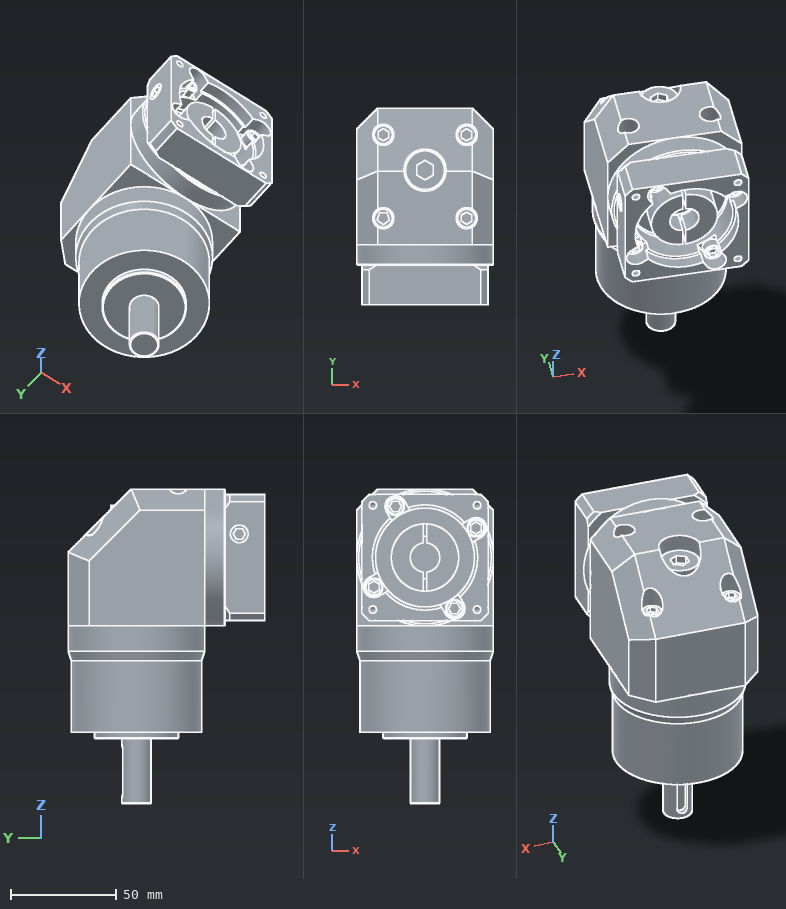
import cadquery as cq
import math


housing_width = 65.0
half_width = housing_width / 2
slope_leg = 30.0
side_chamfer = 10.0

stage_radius = 31.0
collar_bottom = -44.5
taper_bottom = -49.0
stage_bottom = -83.0
boss_radius = 20.0
boss_height = 3.0
edge_chamfer = 0.5

shaft_radius = 7.0
shaft_length = 31.0
key_width = 5.0
key_length = 25.0
key_depth = 3.0

ring_length = 9.75
ring_front = -half_width - ring_length
ring_chamfer_radial = 1.0
ring_chamfer_axial = 0.5
ring_recess_depth = 2.0
recess_floor = ring_front + ring_recess_depth

screw_circle_radius = 28.0
screw_head_radius = 4.25
screw_head_height = 5.0
plate_screw_chamfer = 0.5
screw_socket_width = 5.0
screw_socket_depth = 2.5
counterbore_radius = 5.0
housing_screw_top = 10.8

plug_radius = 9.2
plug_recess_radius = 10.0
plug_recess_depth = 4.0
plug_top = 24.7
plug_y = 3.0
plug_socket_width = 8.0
plug_socket_depth = 4.0

plate_width = 60.0
plate_length = 18.75
plate_front = ring_front - plate_length
plate_corner_radius = 40.0
plate_back_chamfer = 2.0
pilot_radius = 25.0
pilot_depth = 6.0
plate_bore_radius = 23.5
plate_screw_recess = 6.0
motor_hole_circle_radius = 35.0
motor_hole_radius = 1.75
motor_hole_depth = 10.0
drill_tip_angle = 118.0

access_plug_radius = 4.2
access_plug_y = -48.8
access_plug_z = 11.2
access_plug_inset = 0.1
access_socket_depth = 5.0

hub_radius = 16.0
hub_inset = 6.0
hub_front = plate_front + hub_inset
hub_bore_radius = 7.0
hub_rear_bore_radius = 10.0
hub_rear_bore_depth = 4.0
hub_slot_width = 1.5
hub_slot_end_wall = 3.0


def front_plane(y):
    """Plane at the given Y with X to the right, Z up and its normal toward -Y."""
    return cq.Workplane("XZ", origin=(0, y, 0))


def polar(radius, degrees):
    angle = math.radians(degrees)
    return radius * math.cos(angle), radius * math.sin(angle)


def socket_screw_head(socket_sides=6):
    """Socket head standing on the XY plane, with a socket corner toward -Y."""
    head = cq.Workplane("XY").circle(screw_head_radius).extrude(screw_head_height)
    socket = (
        cq.Workplane("XY")
        .workplane(offset=screw_head_height - screw_socket_depth)
        .transformed(rotate=(0, 0, -90 - 180 / socket_sides))
        .polygon(socket_sides, screw_socket_width, circumscribed=True)
        .extrude(screw_socket_depth)
    )
    return head.cut(socket)


def make_angle_housing():
    ridge = half_width - slope_leg
    block = (
        cq.Workplane("YZ")
        .workplane(offset=-half_width)
        .moveTo(-half_width, -half_width)
        .lineTo(half_width, -half_width)
        .lineTo(half_width, ridge)
        .lineTo(ridge, half_width)
        .lineTo(-half_width, half_width)
        .close()
        .extrude(housing_width)
    )
    return block.faces("<X or >X").edges("not(<Z or <Y)").chamfer(side_chamfer)


def make_output_stage():
    boss_bottom = stage_bottom - boss_height
    shaft_end = boss_bottom - shaft_length
    stage = (
        cq.Workplane("XZ")
        .moveTo(0, -half_width)
        .lineTo(half_width, -half_width)
        .lineTo(half_width, collar_bottom)
        .lineTo(stage_radius, taper_bottom)
        .lineTo(stage_radius, stage_bottom)
        .lineTo(boss_radius, stage_bottom)
        .lineTo(boss_radius, boss_bottom + edge_chamfer)
        .lineTo(boss_radius - edge_chamfer, boss_bottom)
        .lineTo(shaft_radius, boss_bottom)
        .lineTo(shaft_radius, shaft_end + edge_chamfer)
        .lineTo(shaft_radius - edge_chamfer, shaft_end)
        .lineTo(0, shaft_end)
        .close()
        .revolve(360, (0, 0, 0), (0, 1, 0))
    )
    keyway = (
        cq.Workplane("XZ", origin=(0, shaft_radius, boss_bottom - shaft_length / 2))
        .slot2D(key_length, key_width, 90)
        .extrude(key_depth)
    )
    return stage.cut(keyway)


def make_input_ring():
    ring = front_plane(-half_width).circle(half_width).extrude(ring_length)
    ring = ring.faces("<Y").edges().chamfer(ring_chamfer_axial, ring_chamfer_radial)
    recess = front_plane(recess_floor).circle(plate_bore_radius).extrude(ring_recess_depth)
    return ring.cut(recess)


def add_housing_screws(body):
    screw_seat = housing_screw_top - screw_head_height
    for degrees in (45, 135, 225, 315):
        x, y = polar(screw_circle_radius, degrees)
        counterbore = (
            cq.Workplane("XY", origin=(x, y, screw_seat))
            .circle(counterbore_radius)
            .extrude(half_width - screw_seat)
        )
        sides = 5 if degrees == 225 else 6
        head = socket_screw_head(sides).translate((x, y, screw_seat))
        body = body.cut(counterbore).union(head)
    return body


def add_ridge_plug(body):
    top = cq.Workplane("XY", origin=(0, plug_y, plug_top))
    plug_foot = top.workplane(offset=-plug_recess_depth)
    recess = plug_foot.circle(plug_recess_radius).extrude(half_width)
    plug = plug_foot.circle(plug_radius).extrude(plug_recess_depth)
    socket = top.polygon(6, plug_socket_width, circumscribed=True).extrude(-plug_socket_depth)
    return body.cut(recess).union(plug).cut(socket)


def make_gearbox():
    body = make_angle_housing().union(make_output_stage()).union(make_input_ring())
    body = add_housing_screws(body)
    return add_ridge_plug(body)


def make_plate_blank():
    disc = (
        front_plane(ring_front)
        .circle(plate_corner_radius)
        .extrude(plate_length)
        .faces(">Y")
        .chamfer(plate_back_chamfer)
    )
    square = front_plane(ring_front).rect(plate_width, plate_width).extrude(plate_length)
    bore = front_plane(ring_front).circle(plate_bore_radius).extrude(plate_length)
    pilot = front_plane(plate_front).circle(pilot_radius).extrude(-pilot_depth)
    return disc.intersect(square).cut(bore).cut(pilot)


def add_plate_screws(plate):
    """Screws in pockets that open radially into the bore."""
    pocket_depth = plate_screw_recess + screw_head_height
    seat = plate_front + pocket_depth
    pocket_plane = front_plane(plate_front)
    pocket = (
        pocket_plane.center(screw_circle_radius, 0)
        .circle(counterbore_radius)
        .extrude(-pocket_depth)
    )
    channel = (
        pocket_plane.center(screw_circle_radius / 2, 0)
        .rect(screw_circle_radius, 2 * counterbore_radius)
        .extrude(-pocket_depth)
    )
    pocket = pocket.union(channel)
    first_angle = 30
    for degrees in range(first_angle, 360, 90):
        x, z = polar(screw_circle_radius, degrees)
        head = (
            socket_screw_head()
            .faces(">Z")
            .edges("%CIRCLE")
            .chamfer(plate_screw_chamfer)
            .rotate((0, 0, 0), (1, 0, 0), 90)
            .rotate((0, 0, 0), (0, 1, 0), first_angle - degrees)
            .translate((x, seat, z))
        )
        plate = plate.cut(pocket.rotate((0, 0, 0), (0, 1, 0), -degrees)).union(head)
    return plate


def cut_motor_holes(plate):
    """Blind holes with drilled tips in the four plate corners."""
    tip_depth = motor_hole_radius / math.tan(math.radians(drill_tip_angle / 2))
    drill = (
        cq.Workplane("XY")
        .lineTo(motor_hole_radius, 0)
        .lineTo(motor_hole_radius, motor_hole_depth)
        .lineTo(0, motor_hole_depth + tip_depth)
        .close()
        .revolve(360, (0, 0, 0), (0, 1, 0))
    )
    for degrees in (45, 135, 225, 315):
        x, z = polar(motor_hole_circle_radius, degrees)
        plate = plate.cut(drill.translate((x, plate_front, z)))
    return plate


def cut_access_plug(plate):
    """Outline and hexagon socket of the plug in the -X side."""
    side = cq.Workplane("YZ", origin=(-plate_width / 2, access_plug_y, access_plug_z))
    inset = side.circle(access_plug_radius).extrude(access_plug_inset)
    socket = (
        side.transformed(rotate=(0, 0, 90))
        .polygon(6, screw_socket_width, circumscribed=True)
        .extrude(access_socket_depth)
    )
    return plate.cut(inset).cut(socket)


def make_adapter_plate():
    plate = add_plate_screws(make_plate_blank())
    return cut_access_plug(cut_motor_holes(plate))


def make_clamping_hub():
    hub_length = recess_floor - hub_front
    slot_depth = hub_length - hub_slot_end_wall
    front = front_plane(hub_front)
    hub = front.circle(hub_radius).circle(hub_bore_radius).extrude(-hub_length)
    slot = front.rect(hub_slot_width, 2 * hub_radius).extrude(-slot_depth)
    rear_bore = front_plane(recess_floor).circle(hub_rear_bore_radius).extrude(hub_rear_bore_depth)
    return hub.cut(slot).cut(rear_bore)


gearbox = make_gearbox()
adapter_plate = make_adapter_plate()
clamping_hub = make_clamping_hub()

result = cq.Compound.makeCompound([gearbox.val(), adapter_plate.val(), clamping_hub.val()])